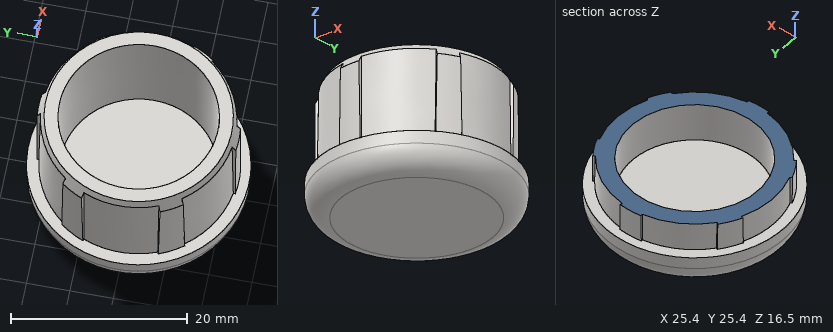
import cadquery as cq
import math

total_height = 16.5
cap_radius = 12.7
cap_height = 4.5
cap_round = 2.87

draft = math.tan(math.radians(1))
plug_base_radius = 11.3
plug_top_radius = 10.7
lead_in_slope = math.tan(math.radians(30))

rib_count = 6
rib_first_angle = 90
rib_radius = 11.53
rib_base_width = 3.15

bore_top_radius = 9.12
bore_floor_radius = 8.97
floor_thickness = 3.0

plug_height = total_height - cap_height


def revolve_profile(points):
    """Turn a closed (radius, height) outline about the Z axis."""
    return cq.Workplane("XZ").polyline(points).close().revolve(360, (0, 0), (0, 1))


def make_cap():
    """Disc with a rounded lower edge."""
    return cq.Workplane("XY").circle(cap_radius).extrude(cap_height).faces("<Z").edges().fillet(cap_round)


def make_plug():
    """Drafted plug with a conical lead-in at its top."""
    radius_drop = plug_base_radius - plug_top_radius
    lead_in_height = (radius_drop - plug_height * draft) / (lead_in_slope - draft)
    shoulder_radius = plug_top_radius + lead_in_height * lead_in_slope
    return revolve_profile([
        (0, cap_height),
        (plug_base_radius, cap_height),
        (shoulder_radius, total_height - lead_in_height),
        (plug_top_radius, total_height),
        (0, total_height),
    ])


def make_ribs():
    """Ribs with drafted sides, trimmed to a cylinder that shares the plug's lead-in cone."""
    lead_in_height = (rib_radius - plug_top_radius) / lead_in_slope
    envelope = revolve_profile([
        (0, cap_height),
        (rib_radius, cap_height),
        (rib_radius, total_height - lead_in_height),
        (plug_top_radius, total_height),
        (0, total_height),
    ])
    base_half = rib_base_width / 2
    top_half = base_half - plug_height * draft
    blank = (
        cq.Workplane("YZ")
        .polyline([
            (-base_half, cap_height),
            (base_half, cap_height),
            (top_half, total_height),
            (-top_half, total_height),
        ])
        .close()
        .extrude(cap_radius)
    )
    ribs = cq.Workplane("XY")
    for index in range(rib_count):
        angle = rib_first_angle + index * 360 / rib_count
        ribs = ribs.add(blank.rotate((0, 0, 0), (0, 0, 1), angle))
    return ribs.combine().intersect(envelope)


def make_bore():
    """Tapered bore, open at the top."""
    return revolve_profile([
        (0, floor_thickness),
        (bore_floor_radius, floor_thickness),
        (bore_top_radius, total_height),
        (0, total_height),
    ])


result = make_cap().union(make_plug()).union(make_ribs()).cut(make_bore())